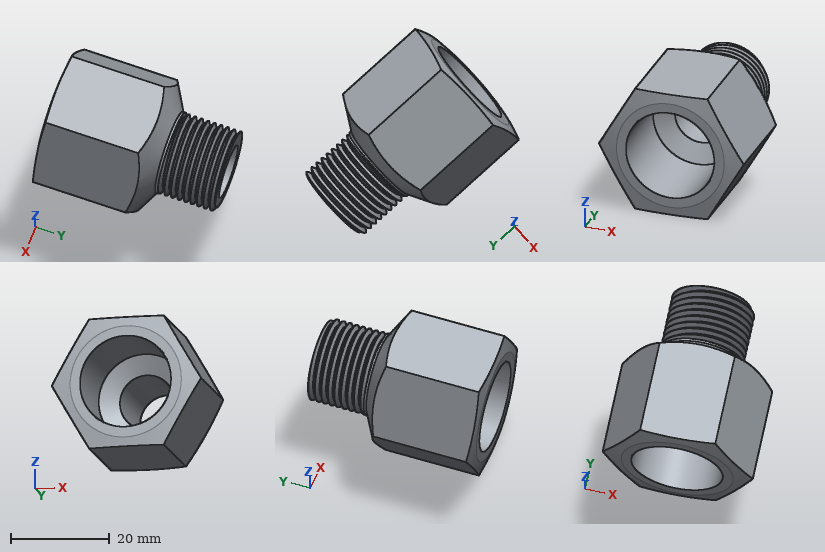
import cadquery as cq
import math

total_length = 37.35
hex_across_flats = 26.92
hex_corner_radius = hex_across_flats / math.sqrt(3)

end_face_radius = 11.58
end_chamfer_depth = 0.75

collar_radius = 8.7
collar_start = 24.65
collar_end = 25.2
shoulder_angle = 30.0
shoulder_start = collar_start - (hex_corner_radius - collar_radius) * math.tan(math.radians(shoulder_angle))

thread_crest_radius = 8.6
thread_root_radius = 7.58
pitch_count = 8
pitch_span = 11.2
thread_pitch = pitch_span / pitch_count
ridge_base_width = 1.35
ridge_crest_width = 0.1
ridge_embed = 0.07
crest_start = 23.82
thread_turns = 11
thread_start = 22.4
core_overrun = 3.75
core_start = thread_start - core_overrun
core_end = total_length + core_overrun

female_radius = 9.5
female_depth = 16.8
through_radius = 5.6
bore_cone_angle = 30.0
bore_cone_end = female_depth + (female_radius - through_radius) * math.tan(math.radians(bore_cone_angle))


def turned(points):
    """Revolve a (radius, axial position) outline about the Y axis."""
    return cq.Workplane("XY").polyline(points).close().revolve(360, (0, 0, 0), (0, 1, 0))


def make_blank():
    """Turned envelope with the hexagon flats cut on its wide portion."""
    envelope = turned([
        (0, 0),
        (end_face_radius, 0),
        (hex_corner_radius, end_chamfer_depth),
        (hex_corner_radius, shoulder_start),
        (collar_radius, collar_start),
        (collar_radius, collar_end),
        (0, collar_end),
    ])
    hexagon = (
        cq.Workplane("XZ")
        .polygon(6, 2 * hex_corner_radius)
        .extrude(-collar_end)
    )
    return envelope.intersect(hexagon)


def make_thread():
    """Helical ridge on a core, both overlong and then trimmed flush with the male end face."""
    half_base = ridge_base_width / 2
    half_crest = ridge_crest_width / 2
    inner_radius = thread_root_radius - ridge_embed
    helix = cq.Wire.makeHelix(thread_pitch, thread_turns * thread_pitch, thread_root_radius)
    ridge = (
        cq.Workplane("XZ")
        .polyline([
            (inner_radius, -half_base),
            (thread_crest_radius, -half_crest),
            (thread_crest_radius, half_crest),
            (inner_radius, half_base),
        ])
        .close()
        .sweep(cq.Workplane(obj=helix), isFrenet=True)
        .rotate((0, 0, 0), (1, 0, 0), -90)
        .translate((0, crest_start, 0))
    )
    core = turned([
        (0, core_start),
        (thread_root_radius, core_start),
        (thread_root_radius, core_end),
        (0, core_end),
    ])
    trim = turned([
        (0, thread_start),
        (hex_corner_radius, thread_start),
        (hex_corner_radius, total_length),
        (0, total_length),
    ])
    return core.union(ridge).intersect(trim)


def make_bore():
    """Female bore narrowing through a cone to the through hole."""
    return turned([
        (0, 0),
        (female_radius, 0),
        (female_radius, female_depth),
        (through_radius, bore_cone_end),
        (through_radius, total_length),
        (0, total_length),
    ])


result = make_blank().union(make_thread()).cut(make_bore())